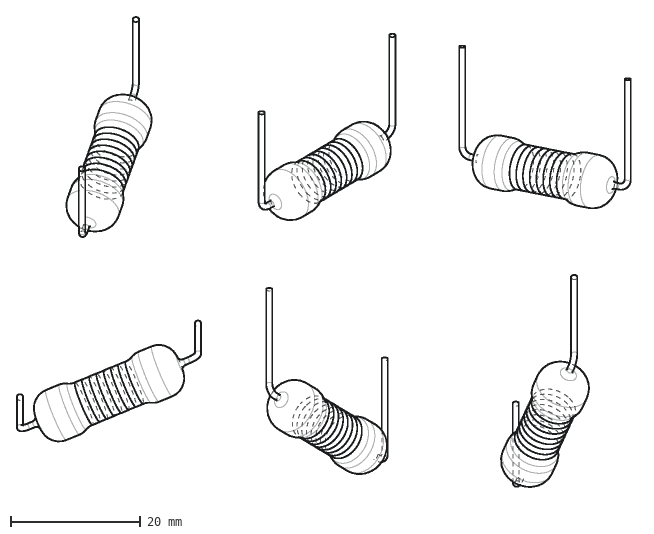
import cadquery as cq
import math

cap_radius = 8.4 / 2
body_half_length = 11.9
cap_rounding = 2.98
waist_radius = 7.13 / 2

band_radius = 7.15 / 2
waist_length = 8.52
band_count = 7
band_pitch = waist_length / band_count
waist_half_length = waist_length / 2
shoulder_length = 2 * band_pitch

overall_length = 31
overall_height = 22
wire_radius = 1.0 / 2
bend_radius = 1.5
flare_radius = 0.85
lead_y = overall_length / 2 - wire_radius
lead_top = overall_height - cap_radius


def make_end():
    """Turn the +Y end: S-shaped shoulder, rounded cap and flare onto the wire."""
    shoulder_start = waist_half_length
    shoulder_end = shoulder_start + shoulder_length
    shoulder_rise = cap_radius - waist_radius
    shoulder_arc = (shoulder_length**2 + shoulder_rise**2) / (4 * shoulder_rise)
    half_sweep = math.asin(shoulder_length / 2 / shoulder_arc) / 2
    shoulder_middle = (waist_radius + shoulder_rise / 2, shoulder_start + shoulder_length / 2)
    arc_middle = (
        waist_radius + shoulder_arc * (1 - math.cos(half_sweep)),
        shoulder_start + shoulder_arc * math.sin(half_sweep),
    )

    round_y = body_half_length - cap_rounding
    round_x = cap_radius - cap_rounding
    flare_x = wire_radius + flare_radius
    center_distance = cap_rounding + flare_radius
    lean = math.asin((flare_x - round_x) / center_distance)
    flare_y = round_y + center_distance * math.cos(lean)

    def on_cap(angle):
        return (round_x + cap_rounding * math.sin(angle), round_y + cap_rounding * math.cos(angle))

    def on_flare(angle):
        return (flare_x - flare_radius * math.sin(angle), flare_y - flare_radius * math.cos(angle))

    quarter_turn = math.pi / 2
    profile = (
        cq.Workplane("XY")
        .moveTo(0, shoulder_start)
        .lineTo(waist_radius, shoulder_start)
        .threePointArc(arc_middle, shoulder_middle)
        .tangentArcPoint((cap_radius, shoulder_end), relative=False)
        .lineTo(cap_radius, round_y)
        .threePointArc(on_cap((lean + quarter_turn) / 2), on_cap(lean))
        .threePointArc(on_flare((lean + quarter_turn) / 2), on_flare(quarter_turn))
        .lineTo(0, flare_y)
        .close()
    )
    return profile.revolve(360, (0, 0, 0), (0, 1, 0))


def make_disc(radius, center_y, width):
    """Disc around the Y axis, centred at center_y."""
    return cq.Workplane("XZ", origin=(0, center_y + width / 2, 0)).circle(radius).extrude(width)


def make_half_lead():
    """Wire from the middle of the body along +Y, then bent up to its free end."""
    bend_start = lead_y - bend_radius
    bend_chord = bend_radius * math.sqrt(0.5)
    bend_middle = (bend_start + bend_chord, bend_radius - bend_chord)
    path = (
        cq.Workplane("YZ")
        .lineTo(bend_start, 0)
        .threePointArc(bend_middle, (lead_y, bend_radius))
        .lineTo(lead_y, lead_top)
    )
    return cq.Workplane("XZ").circle(wire_radius).sweep(path)


end = make_end().union(make_half_lead())
waist = make_disc(waist_radius, 0, waist_length)
result = waist.union(end).union(end.mirror("XZ"))
for index in range(0, band_count, 2):
    band_y = (index - (band_count - 1) / 2) * band_pitch
    result = result.union(make_disc(band_radius, band_y, band_pitch))